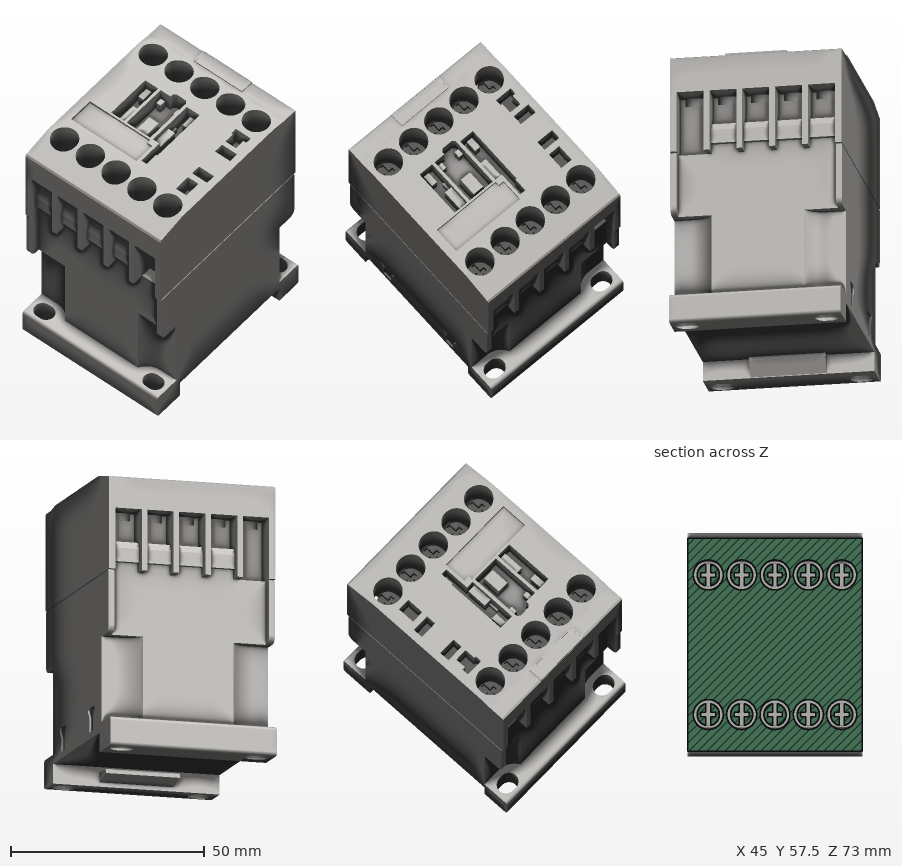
import cadquery as cq
import math

WIDTH = 45.0
FOOT_DEPTH = 57.5
HEIGHT = 73.0

HOUSING_HALF = 27.5
HOUSING_BOTTOM = 46.8
FRONT_EDGE_Y = -27.05
FRONT_EDGE_Z = 71.25
FRONT_BEVEL_BOTTOM = 70.75
FRONT_SLOPE_START = -18.5
REAR_SLOPE_START = 18.86
REAR_SLOPE_END = 22.74
REAR_SHELF_Z = 72.35
REAR_BEVEL = 0.55

PLATE_HALF = 26.95
PLATE_BOTTOM = 30.1
PLATE_RADIUS = 1.9
PLATE_THICKNESS = 1.6
PLATE_CHAMFER = 0.6
SEAM_HEIGHT = 0.35
SEAM_DEPTH = 0.2
BODY_HALF = 23.95
CORNER_HALF = 20.9
CORNER_ARC_START = 17.3
CORNER_ARC_END = 12.2
RAIL_TOP = 5.15

FOOT_HEIGHT = 7.6
FOOT_EDGE_RADIUS = 0.9
RAIL_FRONT = -19.4
RAIL_REAR = 20.9
MOUNT_X = 18.2
MOUNT_Y = 25.0
MOUNT_DIAMETER = 4.8
MOUNT_SLOT = 6.0
LATCH_WIDTH = 20.0
TONGUE_TIP = 15.1
TONGUE_TOP = 3.65
TONGUE_ROOT_BOTTOM = 1.15
TONGUE_TIP_BOTTOM = 2.4
TONGUE_CORNER = 0.6
HOOK_TIP = -16.9
HOOK_TIP_Z = 3.9
HOOK_ROOT_BOTTOM = 0.2
HOOK_NECK = -17.6
HOOK_NECK_Z = 4.2

POLE_PITCH = 8.6
POLE_COUNT = 5
OPENING_WIDTH = 7.1
OPENING_TOP = 62.9
OPENING_BACK = CORNER_HALF
SCREW_Y = 18.0
SCREW_WELL_DIAMETER = 7.6
SCREW_SEAT_Z = 61.0
SCREW_HEAD_DIAMETER = 5.85
SCREW_HEAD_TOP = 64.0
SCREW_SLOT_LENGTH = 3.7
SCREW_CROSS_LENGTH = 5.6
SCREW_SLOT_WIDTH = 1.1
SCREW_SLOT_FLOOR = 62.6
CLAMP_BOTTOM = 49.3
CLAMP_FACE = 25.2
CLAMP_BACK = 22.9
CLAMP_SLOPE_BOTTOM = 52.9
CLAMP_SLOPE_TOP = 54.1
CLAMP_TOOTH_TOP = 54.7
CLAMP_SLOPE_RUN = 0.6
CLAMP_TEETH = 3

POCKET_DEPTH = 5.5
LABEL_DEPTH = 0.7
POCKET_AXIS = -4.3
NAMEPLATE = (-8.05, 23.3, 8.05, 27.4)
NAMEPLATE_TOP = 72.7
NAMEPLATE_RIM = 0.45
NAMEPLATE_PANEL_DEPTH = 0.1

GROOVE_DEPTH = 0.5
GROOVE_Y = 12.25
GROOVE_BOTTOM = 6.9
GROOVE_NECK = 10.6
GROOVE_SHOULDER = 12.4
GROOVE_TOP = 13.3
GROOVE_STEM_HALF = 1.4
GROOVE_HEAD_HALF = 2.75
GROOVE_CORNER = 0.5

HALF_WIDTH = WIDTH / 2
FOOT_HALF = FOOT_DEPTH / 2
OVERLAP = 1.0


def box(x_min, x_max, y_min, y_max, z_min, z_max):
    """Box between the given limits."""
    size = (x_max - x_min, y_max - y_min, z_max - z_min)
    return cq.Workplane("XY").box(*size, centered=False).translate((x_min, y_min, z_min))


def side_profile(points, x_min, x_max):
    """Closed (y, z) outline extruded along X."""
    outline = cq.Workplane("YZ").polyline(points).close()
    return outline.extrude(x_max - x_min).translate((x_min, 0, 0))


def top_cut(points, depth):
    """Closed (x, y) outline as a pocket cutter reaching down from the top face."""
    outline = cq.Workplane("XY").polyline(points).close()
    return outline.extrude(depth + OVERLAP).translate((0, 0, HEIGHT - depth))


def pocket_block(x_min, x_max, y_min, y_max, top_depth):
    """Block standing on a pocket floor, its top at the given depth."""
    return box(x_min, x_max, y_min, y_max, HEIGHT - POCKET_DEPTH - OVERLAP, HEIGHT - top_depth)


def mirrored_in_y(solid):
    """The solid together with its mirror image across the XZ plane."""
    return solid.union(solid.mirror("XZ"))


def mirrored_about_pocket_axis(solid):
    """Mirror image of the solid about the middle of the top pockets."""
    return solid.mirror("YZ").translate((2 * POCKET_AXIS, 0, 0))


def make_housing():
    outline = [
        (-HOUSING_HALF, HOUSING_BOTTOM),
        (-HOUSING_HALF, FRONT_BEVEL_BOTTOM),
        (FRONT_EDGE_Y, FRONT_EDGE_Z),
        (FRONT_SLOPE_START, HEIGHT),
        (REAR_SLOPE_START, HEIGHT),
        (REAR_SLOPE_END, REAR_SHELF_Z),
        (HOUSING_HALF - REAR_BEVEL, REAR_SHELF_Z),
        (HOUSING_HALF, REAR_SHELF_Z - REAR_BEVEL / 2),
        (HOUSING_HALF, HOUSING_BOTTOM),
    ]
    return side_profile(outline, -HALF_WIDTH, HALF_WIDTH)


def make_nameplate():
    x_min, y_min, x_max, y_max = NAMEPLATE
    plate = box(x_min, x_max, y_min, y_max, REAR_SHELF_Z - OVERLAP, NAMEPLATE_TOP)
    panel = box(
        x_min + NAMEPLATE_RIM, x_max - NAMEPLATE_RIM,
        y_min + NAMEPLATE_RIM / 2, y_max - NAMEPLATE_RIM / 2,
        NAMEPLATE_TOP - NAMEPLATE_PANEL_DEPTH, NAMEPLATE_TOP + OVERLAP,
    )
    return plate.cut(panel)


def make_body():
    """Body down to the rail, with a concave corner beside each mounting hole."""
    body = box(-HALF_WIDTH, HALF_WIDTH, -BODY_HALF, BODY_HALF, RAIL_TOP, HOUSING_BOTTOM)
    run = CORNER_ARC_START - CORNER_ARC_END
    rise = BODY_HALF - CORNER_HALF
    radius = (run ** 2 + rise ** 2) / (2 * rise)
    half_sweep = math.asin(run / radius) / 2
    arc_mid = (
        CORNER_ARC_START - radius * math.sin(half_sweep),
        CORNER_HALF + radius * (1 - math.cos(half_sweep)),
    )
    corner = (
        cq.Workplane("XY")
        .moveTo(HALF_WIDTH + OVERLAP, CORNER_HALF)
        .lineTo(CORNER_ARC_START, CORNER_HALF)
        .threePointArc(arc_mid, (CORNER_ARC_END, BODY_HALF))
        .lineTo(HALF_WIDTH + OVERLAP, BODY_HALF)
        .close()
        .extrude(PLATE_BOTTOM)
    )
    corners = mirrored_in_y(corner.union(corner.mirror("YZ")))
    return body.cut(corners)


def make_side_plates():
    plates = box(-HALF_WIDTH, HALF_WIDTH, -PLATE_HALF, PLATE_HALF, PLATE_BOTTOM, HOUSING_BOTTOM)
    plates = plates.edges("|X and <Z").fillet(PLATE_RADIUS)
    plates = plates.edges("|X and >Z").chamfer(PLATE_CHAMFER)
    inner = HALF_WIDTH - PLATE_THICKNESS
    return plates.cut(box(-inner, inner, -FOOT_HALF, FOOT_HALF, 0, HEIGHT))


def make_seams():
    """Shallow strips to be cut from both X sides just below the housing."""
    seam = box(
        HALF_WIDTH - SEAM_DEPTH, HALF_WIDTH, -PLATE_HALF, PLATE_HALF,
        HOUSING_BOTTOM - SEAM_HEIGHT, HOUSING_BOTTOM,
    )
    return seam.union(seam.mirror("YZ"))


def make_foot(y_min, y_max, outer_side):
    foot = box(-HALF_WIDTH, HALF_WIDTH, y_min, y_max, 0, FOOT_HEIGHT)
    return foot.faces(outer_side).edges("|X").fillet(FOOT_EDGE_RADIUS)


def make_feet():
    feet = make_foot(-FOOT_HALF, RAIL_FRONT, "<Y").union(make_foot(RAIL_REAR, FOOT_HALF, ">Y"))
    holes = (
        cq.Workplane("XY")
        .rect(2 * MOUNT_X, 2 * MOUNT_Y, forConstruction=True)
        .vertices()
        .slot2D(MOUNT_SLOT, MOUNT_DIAMETER)
        .extrude(FOOT_HEIGHT)
    )
    return feet.cut(holes)


def make_rail_latches():
    """Spring tongue on the rear foot and fixed hook on the front foot."""
    tongue = [
        (RAIL_REAR, TONGUE_TOP),
        (TONGUE_TIP + TONGUE_CORNER, TONGUE_TOP),
        (TONGUE_TIP, TONGUE_TOP - TONGUE_CORNER),
        (TONGUE_TIP, TONGUE_TIP_BOTTOM),
        (RAIL_REAR, TONGUE_ROOT_BOTTOM),
    ]
    hook = [
        (RAIL_FRONT, HOOK_ROOT_BOTTOM),
        (HOOK_TIP, HOOK_TIP_Z),
        (HOOK_NECK, HOOK_NECK_Z),
        (HOOK_NECK, RAIL_TOP),
        (RAIL_FRONT, RAIL_TOP),
    ]
    half = LATCH_WIDTH / 2
    return side_profile(tongue, -half, half).union(side_profile(hook, -half, half))


def make_side_groove():
    """T-shaped groove in the -X side; its chamfered corner points to the middle."""
    outline = [
        (GROOVE_Y - GROOVE_STEM_HALF, GROOVE_BOTTOM),
        (GROOVE_Y + GROOVE_STEM_HALF, GROOVE_BOTTOM),
        (GROOVE_Y + GROOVE_STEM_HALF, GROOVE_NECK),
        (GROOVE_Y + GROOVE_HEAD_HALF, GROOVE_SHOULDER),
        (GROOVE_Y + GROOVE_HEAD_HALF, GROOVE_TOP),
        (GROOVE_Y - GROOVE_HEAD_HALF + GROOVE_CORNER, GROOVE_TOP),
        (GROOVE_Y - GROOVE_HEAD_HALF, GROOVE_TOP - GROOVE_CORNER),
        (GROOVE_Y - GROOVE_HEAD_HALF, GROOVE_SHOULDER),
        (GROOVE_Y - GROOVE_STEM_HALF, GROOVE_NECK),
    ]
    return side_profile(outline, -HALF_WIDTH, -HALF_WIDTH + GROOVE_DEPTH)


def make_opening(x, is_last):
    """Front wire opening; the last one has no clamp and is deep down to its floor."""
    x_min = x - OPENING_WIDTH / 2
    x_max = x + OPENING_WIDTH / 2
    floor = HOUSING_BOTTOM if is_last else CLAMP_BOTTOM
    opening = box(x_min, x_max, -FOOT_HALF, -OPENING_BACK, floor, OPENING_TOP)
    mouth = box(x_min, x_max, -FOOT_HALF, -BODY_HALF, HOUSING_BOTTOM, OPENING_TOP)
    return opening.union(mouth)


def make_clamp(x):
    """Wire clamp across an opening, with a sloped lip and toothed top."""
    lip = CLAMP_FACE - CLAMP_SLOPE_RUN
    pitch = (lip - CLAMP_BACK) / CLAMP_TEETH
    outline = [(-CLAMP_FACE, CLAMP_BOTTOM), (-CLAMP_FACE, CLAMP_SLOPE_BOTTOM)]
    for tooth in range(CLAMP_TEETH):
        start = -lip + tooth * pitch
        outline.append((start, CLAMP_SLOPE_TOP))
        outline.append((start + pitch / 2, CLAMP_TOOTH_TOP))
    outline.append((-CLAMP_BACK, CLAMP_SLOPE_TOP))
    outline.append((-CLAMP_BACK, CLAMP_BOTTOM))
    return side_profile(outline, x - OPENING_WIDTH / 2, x + OPENING_WIDTH / 2)


def make_screw_well(x):
    well = cq.Workplane("XY").circle(SCREW_WELL_DIAMETER / 2).extrude(HEIGHT - SCREW_SEAT_Z + OVERLAP)
    return well.translate((x, -SCREW_Y, SCREW_SEAT_Z))


def make_screw(x):
    """Screw head with a cross slot, standing on the floor of its well."""
    height = SCREW_HEAD_TOP - SCREW_SEAT_Z
    head = cq.Workplane("XY").circle(SCREW_HEAD_DIAMETER / 2).extrude(height)
    floor = SCREW_SLOT_FLOOR - SCREW_SEAT_Z
    across = cq.Workplane("XY").rect(SCREW_SLOT_LENGTH, SCREW_SLOT_WIDTH).extrude(height)
    along = cq.Workplane("XY").rect(SCREW_SLOT_WIDTH, SCREW_CROSS_LENGTH).extrude(height)
    head = head.cut(across.union(along).translate((0, 0, floor)))
    return head.translate((x, -SCREW_Y, SCREW_SEAT_Z))


def add_terminals(part):
    """Openings, clamps, wells and screws along the front and the back."""
    cutters = cq.Workplane("XY")
    fittings = cq.Workplane("XY")
    for pole in range(POLE_COUNT):
        x = (pole - (POLE_COUNT - 1) / 2) * POLE_PITCH
        is_last = pole == POLE_COUNT - 1
        cutters = cutters.union(make_opening(x, is_last)).union(make_screw_well(x))
        fittings = fittings.union(make_screw(x))
        if not is_last:
            fittings = fittings.union(make_clamp(x))
    return part.cut(mirrored_in_y(cutters)).union(mirrored_in_y(fittings))


SLOT_OUTER = -13.38
SLOT_INNER = -9.1
SLOT_REAR = 10.1
SLOT_FRONT = -3.7
TAIL_LEFT = 2.65
TAIL_END = -11.0
TAIL_STEP = -7.1
TAIL_TIP_RIGHT = 4.4
STEP_REAR = 2.6
LEDGE_LEFT = -11.28
LEDGE_FRONT = -3.16
LEDGE_DEPTH = 1.7
STRIP_LEFT = -9.7
STRIP_REAR = 5.4
STRIP_DEPTH = 4.0
SLOT_POST = (-12.5, -10.8, 6.2, 9.5)
SLOT_POST_DEPTH = 2.2
CENTRE_POST_WIDTH = 1.35
CENTRE_POST_LEFTS = (-7.7, -2.0)
CENTRE_POST_FRONT = 7.7
CENTRE_POST_REAR = 9.5
CENTRE_POST_DEPTH = 2.5
WINDOW_LEFT = 15.4
WINDOW_NARROW = 18.9
WINDOW_WIDE = 20.4
RIGHT_WINDOWS = (
    (14.85, 19.8, 10.7, 12.55),
    (WINDOW_LEFT, WINDOW_NARROW, 7.65, 10.7),
    (WINDOW_LEFT, WINDOW_WIDE, 3.4, 6.25),
    (WINDOW_LEFT, WINDOW_WIDE, -5.9, -3.1),
    (WINDOW_LEFT, WINDOW_NARROW, -12.5, -7.6),
)


def make_side_slot():
    """Slot left of the centre pocket, with a post and a stepped ledge inside."""
    slot = box(SLOT_OUTER, SLOT_INNER, SLOT_FRONT, SLOT_REAR, HEIGHT - POCKET_DEPTH, HEIGHT + OVERLAP)
    post = pocket_block(*SLOT_POST, SLOT_POST_DEPTH)
    ledge = pocket_block(LEDGE_LEFT, SLOT_INNER, LEDGE_FRONT, STEP_REAR, LEDGE_DEPTH)
    strip = pocket_block(STRIP_LEFT, SLOT_INNER, STEP_REAR, STRIP_REAR, STRIP_DEPTH)
    return slot.cut(post).cut(ledge).cut(strip)


def make_slot_tail():
    """Forward extension along the outer edge of the right side slot."""
    right = 2 * POCKET_AXIS - SLOT_OUTER
    outline = [
        (TAIL_LEFT, SLOT_FRONT),
        (TAIL_LEFT, TAIL_END),
        (TAIL_TIP_RIGHT, TAIL_END),
        (TAIL_TIP_RIGHT, TAIL_STEP),
        (right, TAIL_STEP),
        (right, SLOT_FRONT),
    ]
    return top_cut(outline, POCKET_DEPTH)


def make_centre_pocket():
    """Pocket with a rear bay, two posts and a tapered carrier block."""
    left, right = -8.25, -0.4
    bay_left, bay_rear, bay_corner = -4.9, 11.6, 0.7
    outline = [
        (left, SLOT_FRONT),
        (right, SLOT_FRONT),
        (right, bay_rear - bay_corner),
        (right - bay_corner, bay_rear),
        (bay_left + bay_corner, bay_rear),
        (bay_left, bay_rear - bay_corner),
        (bay_left, SLOT_REAR),
        (left, SLOT_REAR),
    ]
    pocket = top_cut(outline, POCKET_DEPTH)
    for post_left in CENTRE_POST_LEFTS:
        post_right = post_left + CENTRE_POST_WIDTH
        post = pocket_block(post_left, post_right, CENTRE_POST_FRONT, CENTRE_POST_REAR, CENTRE_POST_DEPTH)
        pocket = pocket.cut(post)
    block_top_half, block_base_half, block_depth = 1.6, 2.1, 2.0
    block = (
        cq.Workplane("XZ")
        .polyline([
            (POCKET_AXIS - block_base_half, HEIGHT - POCKET_DEPTH),
            (POCKET_AXIS + block_base_half, HEIGHT - POCKET_DEPTH),
            (POCKET_AXIS + block_top_half, HEIGHT - block_depth),
            (POCKET_AXIS - block_top_half, HEIGHT - block_depth),
        ])
        .close()
        .extrude(STEP_REAR, both=True)
    )
    return pocket.cut(block)


def make_label_recess():
    left, right, front, rear = -20.0, 1.75, -11.9, -4.3
    notch_x, notch_y = 0.1, -5.5
    outline = [
        (left, front), (right, front), (right, notch_y),
        (notch_x, notch_y), (notch_x, rear), (left, rear),
    ]
    return top_cut(outline, LABEL_DEPTH)


def make_right_windows():
    """Column of windows near the +X edge, the rearmost one T-shaped."""
    windows = cq.Workplane("XY")
    for x_min, x_max, y_min, y_max in RIGHT_WINDOWS:
        windows = windows.union(box(x_min, x_max, y_min, y_max, HEIGHT - POCKET_DEPTH, HEIGHT + OVERLAP))
    return windows


def cut_top_face(part):
    side_slot = make_side_slot()
    part = part.cut(side_slot)
    part = part.cut(mirrored_about_pocket_axis(side_slot))
    part = part.cut(make_slot_tail())
    part = part.cut(make_centre_pocket())
    part = part.cut(make_label_recess())
    return part.cut(make_right_windows())


part = make_housing().union(make_body()).union(make_side_plates()).cut(make_seams())
part = part.union(make_feet()).union(make_rail_latches())
part = add_terminals(part)
part = cut_top_face(part)
part = part.union(make_nameplate())
result = part.cut(mirrored_in_y(make_side_groove()))